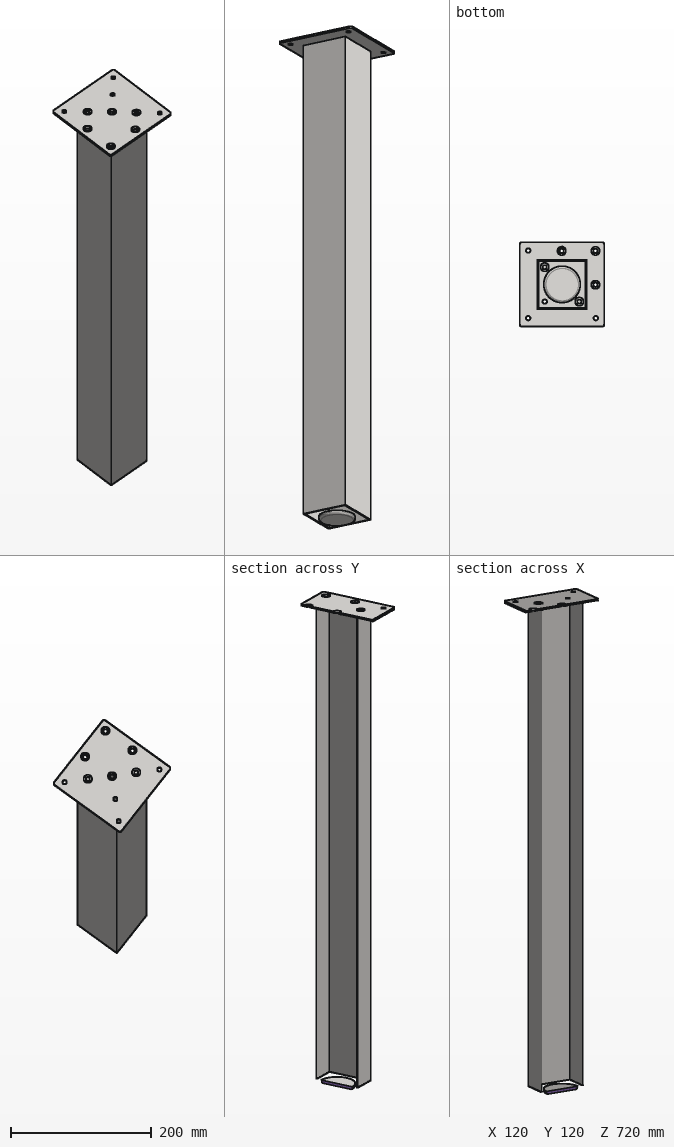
import cadquery as cq

leg_height = 720.0

plate_width = 120.0
plate_thickness = 3.0
plate_corner_radius = 3.0
plate_bottom = leg_height - plate_thickness

tube_width = 70.0
tube_wall = 2.0
tube_bottom = 5.0

foot_radius = 26.0
foot_edge_radius = 3.0

plain_hole_diameter = 6.0
corner_offset = 48.0
inner_offset = 24.5
plain_hole_points = [
    (-corner_offset, corner_offset),
    (corner_offset, corner_offset),
    (-corner_offset, -corner_offset),
    (-inner_offset, inner_offset),
]

seat_diameter = 12.0

sleeve_bore = 6.0
sleeve_countersink_diameter = 10.0
sleeve_countersink_angle = 90.0
sleeve_pitch = 48.0
sleeve_near = -0.5
sleeve_far = sleeve_near + sleeve_pitch
sleeve_points = [(x, -y) for x in (sleeve_near, sleeve_far) for y in (sleeve_near, sleeve_far)]

socket_diameter = 6.0
socket_depth = 2.0
screw_points = [(inner_offset, inner_offset), (-inner_offset, -inner_offset)]


def make_plate():
    """Square plate with rounded corners, plain screw holes and round seats for the flush bodies."""
    blank = cq.Workplane("XY", origin=(0, 0, plate_bottom)).rect(plate_width, plate_width)
    rounded = blank.extrude(plate_thickness).edges("|Z").fillet(plate_corner_radius)
    top = rounded.faces(">Z").workplane()
    drilled = top.pushPoints(plain_hole_points).hole(plain_hole_diameter)
    top = drilled.faces(">Z").workplane(origin=(0, 0, leg_height))
    return top.pushPoints(sleeve_points + screw_points).hole(seat_diameter)


def make_tube():
    """Hollow square tube, open at the bottom and closed by the plate at the top."""
    inner_width = tube_width - 2 * tube_wall
    section = cq.Workplane("XY", origin=(0, 0, tube_bottom)).rect(tube_width, tube_width)
    return section.rect(inner_width, inner_width).extrude(plate_bottom - tube_bottom)


def make_foot():
    """Round foot reaching up to the end of the tube, with a rounded lower rim."""
    disc = cq.Workplane("XY").circle(foot_radius).extrude(tube_bottom)
    return disc.faces("<Z").edges().fillet(foot_edge_radius)


def make_seat_disc(point):
    """Disc that fills one seat, flush with both faces of the plate."""
    x, y = point
    return cq.Workplane("XY", origin=(x, y, plate_bottom)).circle(seat_diameter / 2).extrude(plate_thickness)


def make_sleeve(point):
    """Flush sleeve with a countersunk through bore."""
    top = make_seat_disc(point).faces(">Z").workplane(centerOption="CenterOfMass")
    return top.cskHole(sleeve_bore, sleeve_countersink_diameter, sleeve_countersink_angle)


def make_screw(point):
    """Flush screw head with a round blind socket."""
    top = make_seat_disc(point).faces(">Z").workplane(centerOption="CenterOfMass")
    return top.hole(socket_diameter, socket_depth)


plate = make_plate()
tube = make_tube()
foot = make_foot()
sleeves = [make_sleeve(point) for point in sleeve_points]
screws = [make_screw(point) for point in screw_points]

result = cq.Compound.makeCompound(
    [
        plate.val(),
        tube.val(),
        foot.val(),
        *[sleeve.val() for sleeve in sleeves],
        *[screw.val() for screw in screws],
    ]
)